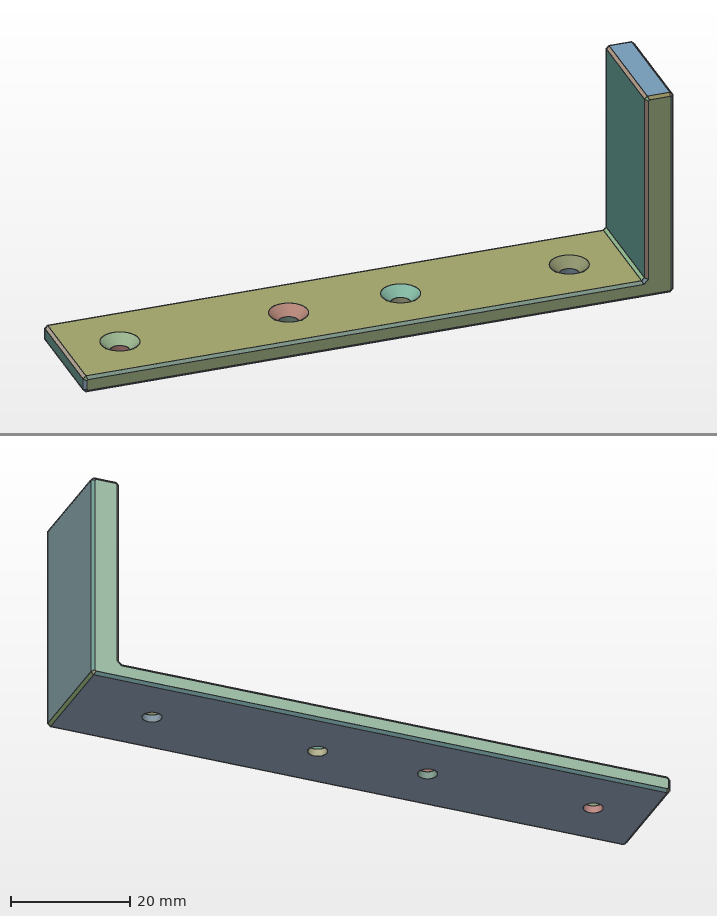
import cadquery as cq

width = 20.0
length = 105.0
height = 38.0
base_thickness = 3.0
upright_thickness = 5.0
edge_chamfer = 0.5

hole_diameter = 3.4
countersink_diameter = 6.7
countersink_angle = 90.0
hole_end_margin = 10.0
hole_pair_pitch = 30.0

clear_length = length - upright_thickness
outer_hole_offset = clear_length / 2 - hole_end_margin
inner_hole_offset = outer_hole_offset - hole_pair_pitch


def make_bracket():
    """L section swept along X, upright at the +Y end, every edge chamfered."""
    section = (
        cq.Workplane("YZ")
        .moveTo(0, 0)
        .lineTo(length, 0)
        .lineTo(length, height)
        .lineTo(clear_length, height)
        .lineTo(clear_length, base_thickness)
        .lineTo(0, base_thickness)
        .close()
    )
    bracket = section.extrude(width / 2, both=True)
    bracket = bracket.edges("|X").chamfer(edge_chamfer)
    return bracket.faces("<X or >X").edges().chamfer(edge_chamfer)


def drill_base(bracket):
    """Countersink the four through holes from the upper face of the base."""
    hole_centres = [
        (0, side * offset)
        for side in (-1, 1)
        for offset in (inner_hole_offset, outer_hole_offset)
    ]
    return (
        bracket.copyWorkplane(cq.Workplane("XY", origin=(0, clear_length / 2, base_thickness)))
        .pushPoints(hole_centres)
        .cskHole(hole_diameter, countersink_diameter, countersink_angle, depth=base_thickness)
    )


result = drill_base(make_bracket())